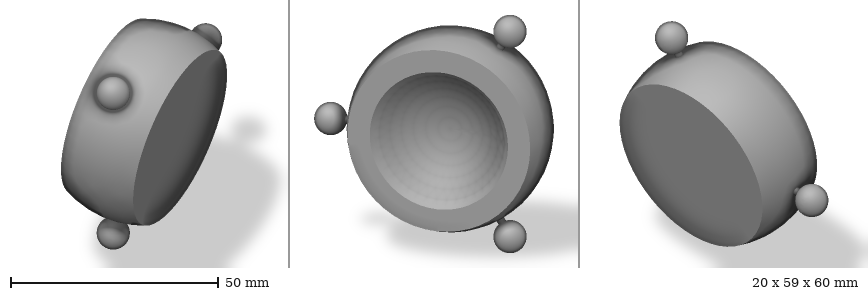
import cadquery as cq
import math

overall_height = 59.95
body_radius = 25.0
body_width = 20.0
bowl_radius = 20.0
bowl_floor_x = 0.0
ball_radius = 4.0
stem_radius = 1.0
ball_count = 3

ball_orbit = (overall_height / 2 - ball_radius) / math.sin(math.radians(60))

bowl_rim_offset = bowl_radius - (bowl_floor_x + body_width / 2)
bowl_rim_radius = math.sqrt(bowl_radius**2 - bowl_rim_offset**2)


def make_body():
    """Ball sliced flat on both X sides, with a shallow spherical bowl in the -X face."""
    half_width = body_width / 2
    face_radius = math.sqrt(body_radius**2 - half_width**2)

    bowl_centre_x = bowl_floor_x - bowl_radius
    bowl_mid_y = bowl_rim_radius / 2
    bowl_mid_x = bowl_centre_x + math.sqrt(bowl_radius**2 - bowl_mid_y**2)

    profile = (
        cq.Workplane("XY")
        .moveTo(half_width, 0)
        .lineTo(half_width, -face_radius)
        .threePointArc((0, -body_radius), (-half_width, -face_radius))
        .lineTo(-half_width, -bowl_rim_radius)
        .threePointArc((bowl_mid_x, -bowl_mid_y), (bowl_floor_x, 0))
        .close()
    )
    return profile.revolve(360, (0, 0, 0), (1, 0, 0))


def make_knob(angle):
    """Small ball on a thin radial stem, turned about the X axis from +Y."""
    stem_start = (body_radius + bowl_rim_radius) / 2
    stem = (
        cq.Workplane("XZ", origin=(0, stem_start, 0))
        .circle(stem_radius)
        .extrude(stem_start - ball_orbit)
    )
    ball = cq.Workplane("XY").sphere(ball_radius).translate((0, ball_orbit, 0))
    return stem.union(ball).rotate((0, 0, 0), (1, 0, 0), angle)


result = make_body()
for index in range(ball_count):
    result = result.union(make_knob(index * 360 / ball_count))